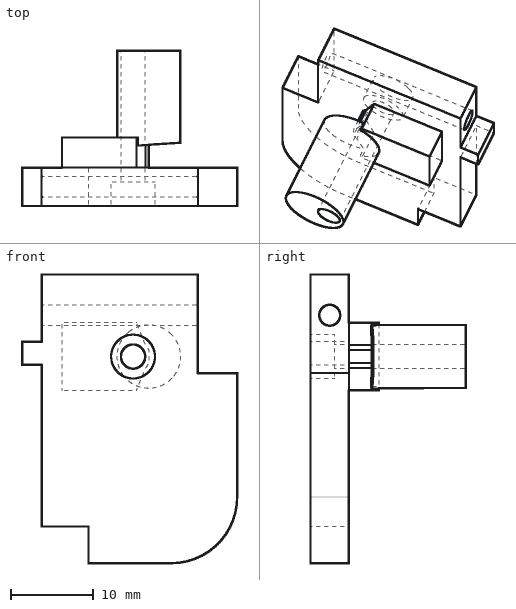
import cadquery as cq
import math

PLATE_THICKNESS = 4.65
PLATE_LEFT = 2.35
PLATE_RIGHT = 26.0
PLATE_HEIGHT = 34.95
UPPER_RIGHT = 21.25
SHOULDER_Z = 23.0
FOOT_LEFT = 8.0
FOOT_HEIGHT = 4.45
CORNER_RADIUS = 8.0

TAB_BOTTOM = 24.0
TAB_HEIGHT = 2.8

AXIS_Z = 25.0

BORE_X = 13.4
BORE_DIAMETER = 2.9
COUNTERBORE_DIAMETER = 5.3
COUNTERBORE_DEPTH = 2.9
SLEEVE_DIAMETER = 4.1
SLEEVE_FLAT_X = 15.3

BLOCK_LEFT = 4.8
BLOCK_CORNER = 13.8
BLOCK_TIP = 14.9
BLOCK_END_SLOPE = 22.0
BLOCK_HEIGHT = 8.2
BLOCK_BACK = 8.3

SHAFT_X = 15.3
SHAFT_DIAMETER = 7.67
SHAFT_BACK = 18.8
SHAFT_FRONT = 7.4
SHAFT_SLANT = 3.6

CROSS_HOLE_DIAMETER = 2.5
CROSS_HOLE_Z = 30.0


def cylinder_along_y(x, diameter, y_start, y_end):
    """Cylinder at height AXIS_Z running along +Y between two Y positions."""
    return cq.Workplane(cq.Solid.makeCylinder(
        diameter / 2, y_end - y_start, cq.Vector(x, y_start, AXIS_Z), cq.Vector(0, 1, 0)))


def make_plate():
    outline = (
        cq.Workplane("XZ")
        .moveTo(PLATE_LEFT, PLATE_HEIGHT)
        .lineTo(UPPER_RIGHT, PLATE_HEIGHT)
        .lineTo(UPPER_RIGHT, SHOULDER_Z)
        .lineTo(PLATE_RIGHT, SHOULDER_Z)
        .lineTo(PLATE_RIGHT, CORNER_RADIUS)
        .radiusArc((PLATE_RIGHT - CORNER_RADIUS, 0), CORNER_RADIUS)
        .lineTo(FOOT_LEFT, 0)
        .lineTo(FOOT_LEFT, FOOT_HEIGHT)
        .lineTo(PLATE_LEFT, FOOT_HEIGHT)
        .close()
    )
    return outline.extrude(-PLATE_THICKNESS)


def make_tab():
    return cq.Workplane("XY").box(
        PLATE_LEFT, PLATE_THICKNESS, TAB_HEIGHT, centered=False
    ).translate((0, 0, TAB_BOTTOM))


def make_block():
    """Block whose right end slopes outward from both corners to a flat face inside the sleeve."""
    half_height = BLOCK_HEIGHT / 2
    slope_rise = (BLOCK_TIP - BLOCK_CORNER) / math.tan(math.radians(BLOCK_END_SLOPE))
    tip_half_height = half_height - slope_rise
    return (
        cq.Workplane("XZ", origin=(0, PLATE_THICKNESS, 0))
        .moveTo(BLOCK_LEFT, AXIS_Z - half_height)
        .lineTo(BLOCK_CORNER, AXIS_Z - half_height)
        .lineTo(BLOCK_TIP, AXIS_Z - tip_half_height)
        .lineTo(BLOCK_TIP, AXIS_Z + tip_half_height)
        .lineTo(BLOCK_CORNER, AXIS_Z + half_height)
        .lineTo(BLOCK_LEFT, AXIS_Z + half_height)
        .close()
        .extrude(PLATE_THICKNESS - BLOCK_BACK)
    )


def make_sleeve():
    """Round sleeve with a narrow flat on its right side."""
    sleeve = cylinder_along_y(BORE_X, SLEEVE_DIAMETER, PLATE_THICKNESS, BLOCK_BACK)
    left_of_flat = cq.Workplane("XY").box(
        SLEEVE_FLAT_X, SHAFT_BACK, PLATE_HEIGHT, centered=False)
    return sleeve.intersect(left_of_flat)


def make_shaft():
    """Shaft whose front end is slanted: its left side reaches nearer the plate than its right."""
    radius = SHAFT_DIAMETER / 2
    lean = radius * math.tan(math.radians(SHAFT_SLANT))
    shaft = cylinder_along_y(SHAFT_X, SHAFT_DIAMETER, SHAFT_FRONT - lean, SHAFT_BACK)
    kept_side = (
        cq.Workplane("XY")
        .moveTo(SHAFT_X - radius, SHAFT_FRONT - lean)
        .lineTo(SHAFT_X + radius, SHAFT_FRONT + lean)
        .lineTo(SHAFT_X + radius, SHAFT_BACK)
        .lineTo(SHAFT_X - radius, SHAFT_BACK)
        .close()
        .extrude(PLATE_HEIGHT)
    )
    return shaft.intersect(kept_side)


def make_cross_hole():
    return cq.Workplane(cq.Solid.makeCylinder(
        CROSS_HOLE_DIAMETER / 2, PLATE_RIGHT,
        cq.Vector(0, PLATE_THICKNESS / 2, CROSS_HOLE_Z), cq.Vector(1, 0, 0)))


bore = cylinder_along_y(BORE_X, BORE_DIAMETER, 0, SHAFT_BACK)
counterbore = cylinder_along_y(BORE_X, COUNTERBORE_DIAMETER, 0, COUNTERBORE_DEPTH)

body = make_plate().union(make_tab()).union(make_block())
body = body.union(make_sleeve()).union(make_shaft())
result = body.cut(bore).cut(counterbore).cut(make_cross_hole())